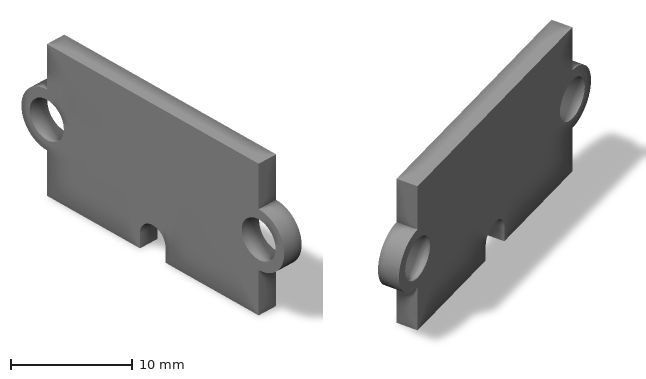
import cadquery as cq

overall_length = 31.0
thickness = 2.0
height = 15.0

ear_radius = 3.0
hole_diameter = 4.0
plate_length = overall_length - 2 * ear_radius
ear_centers = [(-plate_length / 2, 0), (plate_length / 2, 0)]

notch_width = 3.0
notch_depth = 3.0
notch_radius = notch_width / 2
notch_arc_z = -height / 2 + notch_depth - notch_radius


def extrude_through(sketch):
    """Extrude an XZ sketch to the plate thickness, centred on Y = 0."""
    return sketch.extrude(thickness / 2, both=True)


plate = extrude_through(cq.Workplane("XZ").rect(plate_length, height))
ears = extrude_through(cq.Workplane("XZ").pushPoints(ear_centers).circle(ear_radius))
holes = extrude_through(cq.Workplane("XZ").pushPoints(ear_centers).circle(hole_diameter / 2))

notch = extrude_through(
    cq.Workplane("XZ")
    .moveTo(-notch_radius, -height / 2)
    .lineTo(-notch_radius, notch_arc_z)
    .threePointArc((0, notch_arc_z + notch_radius), (notch_radius, notch_arc_z))
    .lineTo(notch_radius, -height / 2)
    .close()
)

result = plate.union(ears).cut(holes).cut(notch)